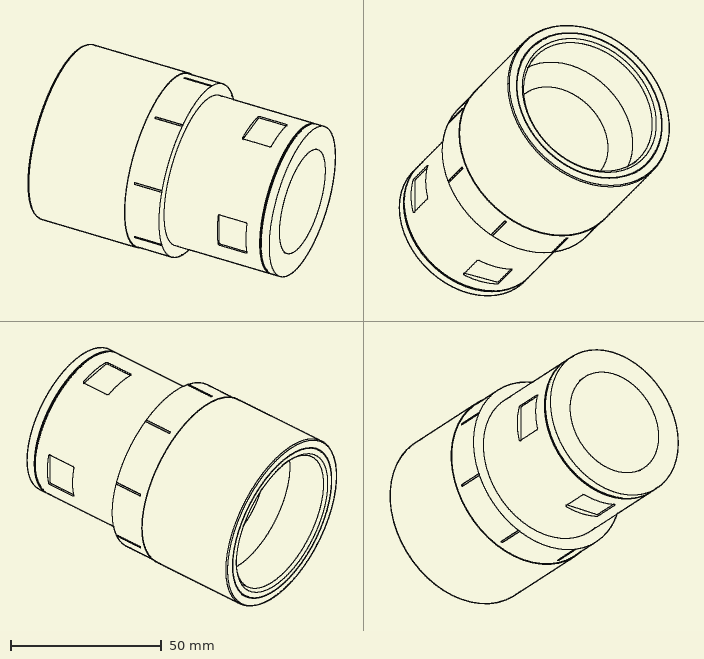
import cadquery as cq

TOTAL_LENGTH = 86.5
SLEEVE_LENGTH = 35.5
COLLAR_END = 48.0

SLEEVE_DIAMETER = 60.48
COLLAR_DIAMETER = 60.0
SHANK_DIAMETER = 52.0
SLEEVE_CHAMFER_LENGTH = 0.5
SLEEVE_CHAMFER_DEPTH = 0.3

SOCKET_DIAMETER = 48.16
SOCKET_DEPTH = 15.0
SOCKET_CHAMFER_LENGTH = 1.0
SOCKET_MOUTH_DIAMETER = SOCKET_DIAMETER + 2 * SOCKET_CHAMFER_LENGTH
THROAT_DIAMETER = 36.0
THROAT_START = SOCKET_DEPTH + (SOCKET_DIAMETER - THROAT_DIAMETER) / 2

FACE_GROOVE_OUTER_DIAMETER = 54.53
FACE_GROOVE_INNER_DIAMETER = 54.13
FACE_GROOVE_DEPTH = 1.0

SHANK_GROOVE_WIDTH = 0.5
SHANK_GROOVE_DEPTH = 0.5
SHANK_GROOVE_START = 83.0

SLOT_COUNT = 8
SLOT_START = 38.0
SLOT_WIDTH = 0.6
SLOT_DEPTH = 0.1

POCKET_COUNT = 4
POCKET_START = 67.5
POCKET_LENGTH = 10.5
POCKET_WIDTH = 13.0
POCKET_CORNER_RADIUS = 0.5
POCKET_DEPTH = 1.5

CUT_CLEARANCE = 1.0


def make_outer_body():
    sleeve_radius = SLEEVE_DIAMETER / 2
    collar_radius = COLLAR_DIAMETER / 2
    shank_radius = SHANK_DIAMETER / 2
    profile = (
        cq.Workplane("XY")
        .moveTo(0, 0)
        .lineTo(0, sleeve_radius - SLEEVE_CHAMFER_DEPTH)
        .lineTo(SLEEVE_CHAMFER_LENGTH, sleeve_radius)
        .lineTo(SLEEVE_LENGTH, sleeve_radius)
        .lineTo(SLEEVE_LENGTH, collar_radius)
        .lineTo(COLLAR_END, collar_radius)
        .lineTo(COLLAR_END, shank_radius)
        .lineTo(TOTAL_LENGTH, shank_radius)
        .lineTo(TOTAL_LENGTH, 0)
        .close()
    )
    return profile.revolve(360, (0, 0, 0), (1, 0, 0))


def make_bore():
    profile = (
        cq.Workplane("XY")
        .moveTo(0, 0)
        .lineTo(0, SOCKET_MOUTH_DIAMETER / 2)
        .lineTo(SOCKET_CHAMFER_LENGTH, SOCKET_DIAMETER / 2)
        .lineTo(SOCKET_DEPTH, SOCKET_DIAMETER / 2)
        .lineTo(THROAT_START, THROAT_DIAMETER / 2)
        .lineTo(TOTAL_LENGTH, THROAT_DIAMETER / 2)
        .lineTo(TOTAL_LENGTH, 0)
        .close()
    )
    return profile.revolve(360, (0, 0, 0), (1, 0, 0))


def make_ring(start, length, outer_diameter, inner_diameter):
    """Ring about the X axis, starting at the given distance from the socket end."""
    return (
        cq.Workplane("YZ", origin=(start, 0, 0))
        .circle(outer_diameter / 2)
        .circle(inner_diameter / 2)
        .extrude(length)
    )


def make_collar_slots():
    length = COLLAR_END - SLOT_START
    slot = cq.Workplane("XY").box(
        length, SLOT_WIDTH, SLOT_DEPTH + CUT_CLEARANCE, centered=(False, True, False)
    )
    slot = slot.translate((SLOT_START, 0, COLLAR_DIAMETER / 2 - SLOT_DEPTH))
    pitch = 360 / SLOT_COUNT
    slots = cq.Workplane("XY")
    for index in range(SLOT_COUNT):
        angle = (index + 0.5) * pitch
        slots = slots.add(slot.rotate((0, 0, 0), (1, 0, 0), angle))
    return slots.combine()


def make_shank_pockets():
    pocket = (
        cq.Workplane("XY")
        .box(
            POCKET_LENGTH, POCKET_WIDTH, POCKET_DEPTH + CUT_CLEARANCE,
            centered=(False, True, False),
        )
        .edges("|Z")
        .fillet(POCKET_CORNER_RADIUS)
        .translate((POCKET_START, 0, SHANK_DIAMETER / 2 - POCKET_DEPTH))
    )
    pockets = cq.Workplane("XY")
    for index in range(POCKET_COUNT):
        angle = index * 360 / POCKET_COUNT
        pockets = pockets.add(pocket.rotate((0, 0, 0), (1, 0, 0), angle))
    return pockets.combine()


face_groove = make_ring(
    0, FACE_GROOVE_DEPTH, FACE_GROOVE_OUTER_DIAMETER, FACE_GROOVE_INNER_DIAMETER
)
shank_groove = make_ring(
    SHANK_GROOVE_START,
    SHANK_GROOVE_WIDTH,
    SHANK_DIAMETER + CUT_CLEARANCE,
    SHANK_DIAMETER - 2 * SHANK_GROOVE_DEPTH,
)

result = (
    make_outer_body()
    .cut(make_bore())
    .cut(face_groove)
    .cut(shank_groove)
    .cut(make_collar_slots())
    .cut(make_shank_pockets())
)